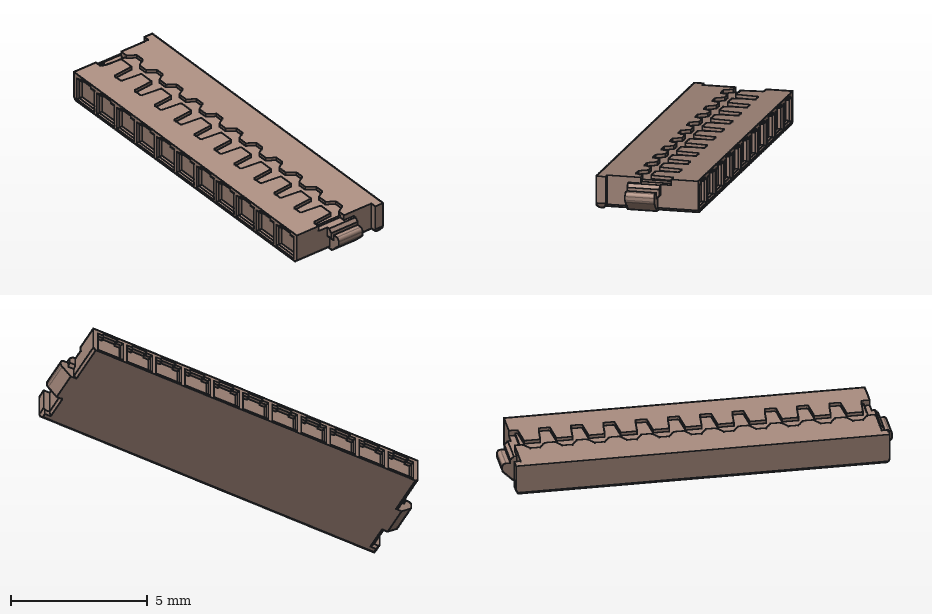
import cadquery as cq

total_width = 14.5
depth = 3.8
height = 1.2

body_width = 13.43
body_edge_chamfer = 0.1

flange_width = 13.9
flange_depth = 0.36
flange_chamfer_height = 0.19
flange_chamfer_run = 0.1

position_count = 11
row_span = 12.0
pitch = row_span / (position_count - 1)
centres = [-row_span / 2 + i * pitch for i in range(position_count)]

opening_width = 1.05
opening_bottom = 0.09
shoulder_height = 1.02
key_width = 0.61
key_height = 1.1
lead_in = 0.051
lead_in_depth = 0.07
pocket_depth = 0.2

recess_depth = 0.13
recess_back = 2.18
wave_crest = 2.5
crest_half_width = 0.19
wave_half_width = 0.4
tongue_root = 1.02
tongue_tip = 1.88
tip_half_width = 0.3
root_half_width = 0.39
root_fillet = 0.06

notch_width = 0.23
notch_depth = 0.22

arm_front = 1.4
arm_top = height - notch_depth
arm_bottom = 0.46
arm_chamfer = 0.13
arm_underside_chamfer = 0.15
hook_front = 1.52
latch_back = 2.62
hook_top = 0.72
hook_slope_height = 0.4
hook_slope_run = 0.4
hook_fillet = 0.13
latch_root = 0.15


def centred_box(width, front, back, bottom, top):
    """Box centred on X between the given Y and Z limits."""
    return (
        cq.Workplane("XY", origin=(0, 0, bottom))
        .center(0, (front + back) / 2)
        .rect(width, back - front)
        .extrude(top - bottom)
    )


def make_body():
    block = centred_box(body_width, 0, depth, 0, height)
    block = block.faces("<Z").edges("<X or >X or >Y").chamfer(body_edge_chamfer)

    flange = centred_box(flange_width, depth - flange_depth, depth, 0, height)
    side_faces = flange.faces("<X or >X")
    lower_edges = side_faces.edges("<Z")
    flange = lower_edges.chamfer(flange_chamfer_height, flange_chamfer_run)
    flange = flange.faces("<Z").edges("<Y or >Y").chamfer(body_edge_chamfer)
    return block.union(flange)


def make_left_latch():
    block_side = -body_width / 2
    arm_side = -flange_width / 2
    tip = -total_width / 2
    root = block_side + latch_root

    arm = (
        cq.Workplane("XY")
        .box(root - arm_side, latch_back - arm_front, arm_top - arm_bottom, centered=False)
        .translate((arm_side, arm_front, arm_bottom))
    )
    arm = arm.edges("<X and >Z").chamfer(arm_chamfer)
    arm = arm.edges("<Y and <Z").chamfer(arm_underside_chamfer)

    hook = (
        cq.Workplane("XZ", origin=(0, latch_back, 0))
        .polyline([
            (root, 0),
            (tip + hook_slope_run, 0),
            (tip, hook_slope_height),
            (tip, hook_top),
            (root, hook_top),
        ])
        .close()
        .extrude(latch_back - hook_front)
    )
    hook = hook.edges("|Y and <X").fillet(hook_fillet)
    return arm.union(hook)


def opening_outline(inset):
    """Opening outline about its own centre, shrunk inward by inset."""
    half_width = opening_width / 2 - inset
    key_half_width = key_width / 2 - inset
    shoulder = shoulder_height - inset
    return [
        (-half_width, opening_bottom + inset),
        (half_width, opening_bottom + inset),
        (half_width, shoulder),
        (key_half_width, shoulder),
        (key_half_width, key_height - inset),
        (-key_half_width, key_height - inset),
        (-key_half_width, shoulder),
        (-half_width, shoulder),
    ]


def make_opening():
    """Cutter for one opening: tapered mouth followed by a straight pocket."""
    mouth = (
        cq.Workplane("XZ")
        .polyline(opening_outline(0))
        .close()
        .workplane(offset=-lead_in_depth)
        .polyline(opening_outline(lead_in))
        .close()
        .loft(ruled=True)
    )
    pocket = (
        cq.Workplane("XZ")
        .polyline(opening_outline(lead_in))
        .close()
        .extrude(-pocket_depth)
    )
    return mouth.union(pocket)


def make_recess():
    """Cutter for the top recess and the deeper notches at its ends."""
    side = body_width / 2
    notch_inner = side - notch_width
    tongues = []
    waves = []
    for x in centres:
        tongues += [
            (x - root_half_width, tongue_root),
            (x - tip_half_width, tongue_tip),
            (x + tip_half_width, tongue_tip),
            (x + root_half_width, tongue_root),
        ]
        waves += [
            (x - wave_half_width, recess_back),
            (x - crest_half_width, wave_crest),
            (x + crest_half_width, wave_crest),
            (x + wave_half_width, recess_back),
        ]
    outline = [(-side, tongue_root)] + tongues
    outline += [(side, tongue_root), (side, recess_back)]
    outline += waves[::-1]
    outline += [(-side, recess_back)]

    recess = (
        cq.Workplane("XY", origin=(0, 0, height))
        .polyline(outline)
        .close()
        .extrude(-recess_depth)
        .edges("|Z and <Y")
        .fillet(root_fillet)
    )
    notches = centred_box(body_width, tongue_root, recess_back, height - notch_depth, height)
    between = centred_box(2 * notch_inner, tongue_root, recess_back, height - notch_depth, height)
    return recess.union(notches.cut(between))


left_latch = make_left_latch()
result = make_body().union(left_latch).union(left_latch.mirror("YZ"))
result = result.cut(make_recess())

opening = make_opening()
for x in centres:
    result = result.cut(opening.translate((x, 0, 0)))